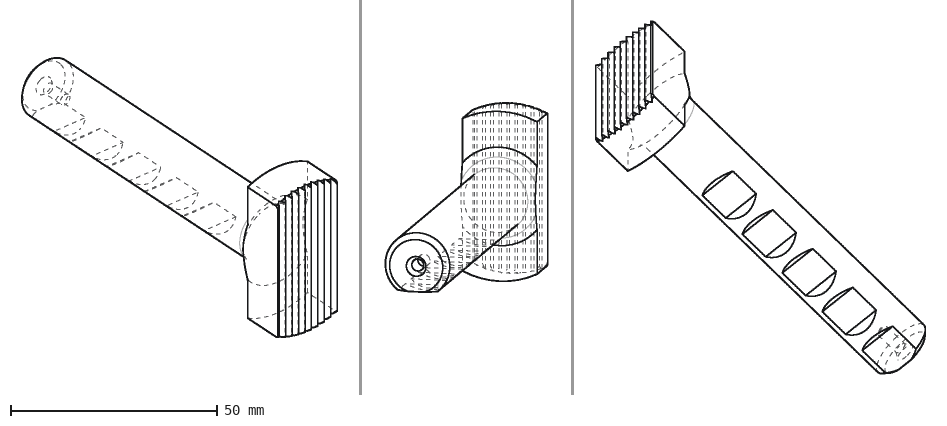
import cadquery as cq
import math

LENGTH = 101.6

SHANK_RADIUS = 8.0
SHANK_CHAMFER = 1.4
FLAT_DEPTH = 1.7

RACK_TOOTH_COUNT = 4
RACK_PITCH = 14.4
RACK_TOOTH_BASE = 6.0
RACK_FIRST_GAP = 9.9

HOLE_DIAMETER = 2.9
HOLE_DEPTH = 8.1
COUNTERSINK_DIAMETER = 4.9
COUNTERSINK_ANGLE = 60.0
DRILL_POINT_ANGLE = 118.0

HEAD_DIAMETER = 42.0
HEAD_WIDTH = 18.6
HEAD_THICKNESS = 11.9
HEAD_RADIUS = HEAD_DIAMETER / 2
HEAD_BACK = LENGTH - HEAD_THICKNESS
RIM_CHAMFER_LENGTH = 0.9
RIM_CHAMFER_HEIGHT = 0.6

FLARE_START = 85.0
FLARE_ARC_RADIUS = 4.0
FLARE_ANGLE = 60.0

GROOVE_COUNT = 11
GROOVE_SPAN = 20.1
GROOVE_PITCH = GROOVE_SPAN / (GROOVE_COUNT - 1)
GROOVE_DEPTH = 1.5


def flared_shank():
    """Revolve the chamfered shank with its flare, up to the back of the head."""
    slope = math.radians(FLARE_ANGLE)

    def arc_point(angle):
        return (
            FLARE_START + FLARE_ARC_RADIUS * math.sin(angle),
            SHANK_RADIUS + FLARE_ARC_RADIUS * (1 - math.cos(angle)),
        )

    cone_start = arc_point(slope)
    cone_end_radius = cone_start[1] + (HEAD_BACK - cone_start[0]) * math.tan(slope)
    return (
        cq.Workplane("XY")
        .moveTo(0, 0)
        .lineTo(0, SHANK_RADIUS - SHANK_CHAMFER)
        .lineTo(SHANK_CHAMFER, SHANK_RADIUS)
        .lineTo(FLARE_START, SHANK_RADIUS)
        .threePointArc(arc_point(slope / 2), cone_start)
        .lineTo(HEAD_BACK, cone_end_radius)
        .lineTo(HEAD_BACK, 0)
        .close()
        .revolve(360, (0, 0, 0), (1, 0, 0))
    )


def head():
    """Revolve the disc with its chamfered front rim."""
    return (
        cq.Workplane("XY")
        .moveTo(HEAD_BACK, 0)
        .lineTo(HEAD_BACK, HEAD_RADIUS)
        .lineTo(LENGTH - RIM_CHAMFER_LENGTH, HEAD_RADIUS)
        .lineTo(LENGTH, HEAD_RADIUS - RIM_CHAMFER_HEIGHT)
        .lineTo(LENGTH, 0)
        .close()
        .revolve(360, (0, 0, 0), (1, 0, 0))
    )


def parallel_sides():
    """Block that trims the head and flare to the head width."""
    return cq.Workplane("XY").box(
        LENGTH, HEAD_WIDTH, HEAD_DIAMETER, centered=(False, True, True)
    )


def rack_gap(index):
    """One gap of the rack, counted from the free end; the first one is open there."""
    flat_z = FLAT_DEPTH - SHANK_RADIUS
    gap_end = RACK_FIRST_GAP + index * RACK_PITCH
    gap_length = RACK_FIRST_GAP if index == 0 else RACK_PITCH - RACK_TOOTH_BASE
    gap_start = gap_end - gap_length
    return (
        cq.Workplane("XZ")
        .moveTo(gap_start, flat_z)
        .lineTo(gap_end, flat_z)
        .lineTo(gap_end + FLAT_DEPTH, -SHANK_RADIUS)
        .lineTo(gap_start - FLAT_DEPTH, -SHANK_RADIUS)
        .close()
        .extrude(SHANK_RADIUS, both=True)
    )


def centre_hole():
    """Countersunk blind hole with a drill point."""
    hole_radius = HOLE_DIAMETER / 2
    sink_radius = COUNTERSINK_DIAMETER / 2
    sink_depth = (sink_radius - hole_radius) / math.tan(math.radians(COUNTERSINK_ANGLE / 2))
    point_depth = hole_radius / math.tan(math.radians(DRILL_POINT_ANGLE / 2))
    return (
        cq.Workplane("XY")
        .moveTo(0, 0)
        .lineTo(0, sink_radius)
        .lineTo(sink_depth, hole_radius)
        .lineTo(HOLE_DEPTH, hole_radius)
        .lineTo(HOLE_DEPTH + point_depth, 0)
        .close()
        .revolve(360, (0, 0, 0), (1, 0, 0))
    )


def face_groove():
    """One V groove along Z, centred on the striking face, as wide as the pitch so ridges are sharp."""
    half_width = GROOVE_PITCH / 2
    return (
        cq.Workplane("XY")
        .moveTo(LENGTH, -half_width)
        .lineTo(LENGTH - GROOVE_DEPTH, 0)
        .lineTo(LENGTH, half_width)
        .close()
        .extrude(HEAD_RADIUS, both=True)
    )


result = flared_shank().union(head()).intersect(parallel_sides())
for rack_gap_index in range(RACK_TOOTH_COUNT + 1):
    result = result.cut(rack_gap(rack_gap_index))
result = result.cut(centre_hole())
for groove_index in range(GROOVE_COUNT):
    groove_offset = groove_index * GROOVE_PITCH - GROOVE_SPAN / 2
    result = result.cut(face_groove().translate((0, groove_offset, 0)))